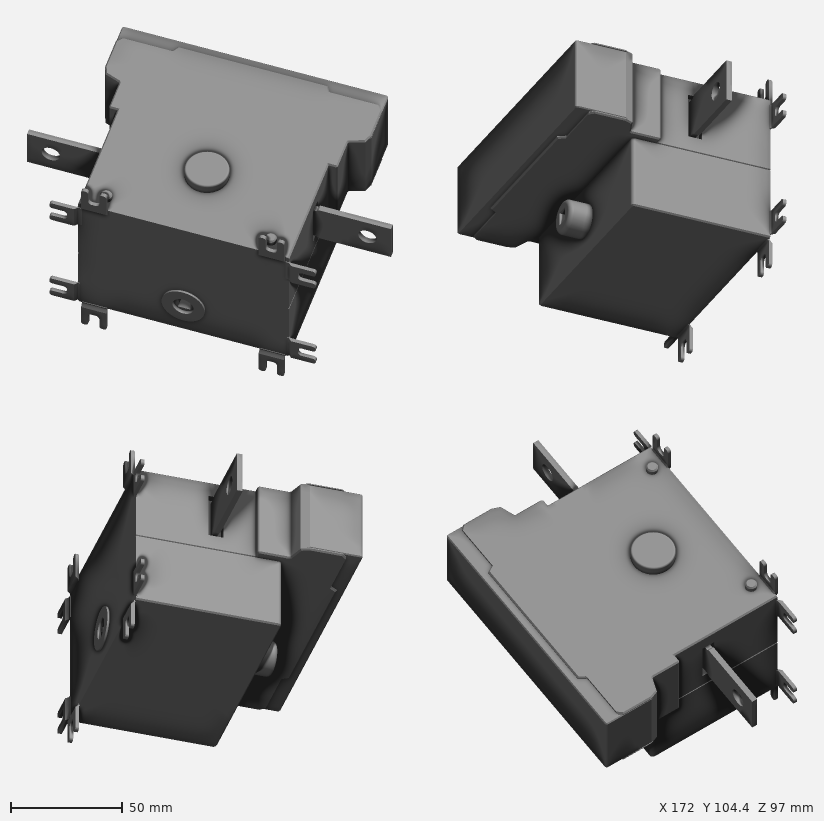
import cadquery as cq


upper_height = 36.8
cover_thickness = 1.0
cover_bevel = 0.7
edge_tolerance = 0.02
body_half_width = 49.9
shoulder_half_width = 54.0
flange_half_width = 63.0
body_depth = 102.7
shoulder_start = 56.0
flare_start = 71.2
flare_end = 73.8
flare_end_half_width = 61.4
flange_start = 77.7
shoulder_radius = 1.0
back_edge_bevel = 0.5
back_corner_radius = 1.2

cover_corner_start = 93.2
cover_corner_half_width = 61.0
cover_side_back = 95.3
cover_tongue_back = 98.9
tongue_root_half_width = 37.5
tongue_tip_half_width = 35.3

lower_height = 34.7
lower_depth = 68.6
lower_back_radius = 1.7
lower_bottom_bevel = 0.7
shaft_axis_z = -17.4
shaft_radius = 8.17
shaft_length = 11.4
shaft_end_radius = 2.0
disc_radius = 10.1
disc_thickness = 1.0
bore_radius = 5.0
bore_depth = 1.7
socket_width = 5.8
socket_height = 6.4

button_radius = 10.1
button_height = 4.6
button_edge_radius = 0.9
button_y = 33.2
screw_radius = 2.8
screw_height = 2.8
screw_chamfer = 0.7
screw_x = 38.9
screw_y = 6.7

bar_tip_x = 86.0
bar_thickness = 2.8
bar_height = 20.3
bar_y = 37.5
bar_z = 18.4
bar_shoulder_x = 51.8
bar_neck_inset = 1.0
bar_hole_x = 74.8
bar_hole_radius = 4.3
bar_window_depth = 7.0
bar_window_height = 21.5
bar_window_recess = 3.5

tab_width = 12.0
tab_thickness = 1.7
tab_tip_radius = 1.4
tab_slot_width = 5.3
tab_slot_length = 8.5
tab_slot_corner_radius = 1.9
bend_run = 1.4
root_proud = 0.3
bend_fill = 0.7
tab_x = 42.0
side_tab_tip = 63.0
side_tab_bend = 51.3
upper_tab_z = 27.7
lower_tab_z = -27.2
upper_side_root = 48.2
lower_side_root = 49.2
top_tab_tip = 48.7
top_tab_bend = 35.6
top_tab_root = 33.7
bottom_tab_tip = 48.3
bottom_tab_bend = 36.3
bottom_tab_root = 34.2


shoulder_zone = cq.selectors.BoxSelector(
    (-flange_half_width, shoulder_start - shoulder_radius, 0),
    (flange_half_width, flare_start + shoulder_radius, upper_height),
)
body_zone = cq.selectors.BoxSelector(
    (-body_half_width - shoulder_radius, 0, 0),
    (body_half_width + shoulder_radius, shoulder_start + shoulder_radius, upper_height),
)
shoulder_corners = shoulder_zone - body_zone


def mirrored_profile(half_outline, bottom_z, height):
    """Extrude a half outline, given for X > 0, with its mirror image and round the shoulders."""
    other_half = [(-x, y) for x, y in reversed(half_outline)]
    block = (
        cq.Workplane("XY", origin=(0, 0, bottom_z))
        .polyline(half_outline + other_half)
        .close()
        .extrude(height)
    )
    return block.edges("|Z").edges(shoulder_corners).fillet(shoulder_radius)


side_outline = [
    (body_half_width, 0),
    (body_half_width, shoulder_start),
    (shoulder_half_width, shoulder_start),
    (shoulder_half_width, flare_start),
    (flare_end_half_width, flare_end),
    (flange_half_width, flange_start),
]
core_outline = side_outline + [(flange_half_width, body_depth)]
cover_outline = side_outline + [
    (flange_half_width, cover_corner_start),
    (cover_corner_half_width, cover_side_back),
    (tongue_root_half_width, cover_side_back),
    (tongue_tip_half_width, cover_tongue_back),
]


def takes_bevel(edge):
    """False for the rear edges of a cover beside its tongue, which stay square."""
    box = edge.BoundingBox()
    return abs(box.ymin - cover_side_back) > edge_tolerance or box.ylen > edge_tolerance


def upper_housing():
    """Stepped box with a raised, bevelled cover on its top and bottom."""
    core = mirrored_profile(core_outline, cover_thickness, upper_height - 2 * cover_thickness)
    core = core.edges("|Z and >Y").fillet(back_corner_radius)
    core = core.faces(">Y").edges("|X").chamfer(back_edge_bevel)

    top_cover = mirrored_profile(cover_outline, upper_height - cover_thickness, cover_thickness)
    top_cover = top_cover.faces(">Z").edges("not <Y").filter(takes_bevel).chamfer(cover_bevel)
    bottom_cover = top_cover.mirror("XY", (0, 0, upper_height / 2))
    return core.union(top_cover).union(bottom_cover)


def lower_housing():
    """Plain box under the upper housing."""
    box = cq.Workplane("XY").box(
        2 * body_half_width, lower_depth, lower_height, centered=(True, False, False)
    )
    box = box.translate((0, 0, -lower_height))
    box = box.edges("|Z and >Y").fillet(lower_back_radius)
    return box.faces("<Z").edges("not <Y").chamfer(lower_bottom_bevel)


def cylinder_along_y(radius, start_y, length):
    """Cylinder on the drive shaft axis."""
    plane = cq.Plane(origin=(0, start_y, shaft_axis_z), xDir=(1, 0, 0), normal=(0, 1, 0))
    return cq.Workplane(plane).circle(radius).extrude(length)


def shaft_and_disc():
    """Shaft end behind the lower housing and thin disc on the mounting face."""
    shaft = cylinder_along_y(shaft_radius, lower_depth, shaft_length)
    shaft = shaft.faces(">Y").edges().fillet(shaft_end_radius)
    return shaft.union(cylinder_along_y(disc_radius, -disc_thickness, disc_thickness))


def shaft_socket():
    """Round bore at the front, continued by a rectangular hole through the shaft."""
    socket_length = disc_thickness + lower_depth + shaft_length
    socket = cq.Workplane("XY").box(
        socket_width, socket_length, socket_height, centered=(True, False, True)
    )
    socket = socket.translate((0, -disc_thickness, shaft_axis_z))
    return socket.union(cylinder_along_y(bore_radius, -disc_thickness, bore_depth))


def top_button():
    button = cq.Workplane("XY", origin=(0, button_y, upper_height)).circle(button_radius)
    return button.extrude(button_height).faces(">Z").edges().fillet(button_edge_radius)


def screw_heads():
    heads = cq.Workplane("XY", origin=(0, screw_y, upper_height))
    heads = heads.pushPoints([(-screw_x, 0), (screw_x, 0)]).circle(screw_radius)
    return heads.extrude(screw_height).faces(">Z").edges().chamfer(screw_chamfer)


wall_recess_x = body_half_width - bar_window_recess


def terminal_bar():
    """Right-hand terminal bar, narrowed where it enters the housing."""
    half_height = bar_height / 2
    neck_half_height = half_height - bar_neck_inset
    neck_x = bar_shoulder_x - bar_neck_inset
    lower_edge = [
        (wall_recess_x, -neck_half_height),
        (neck_x, -neck_half_height),
        (bar_shoulder_x, -half_height),
        (bar_tip_x, -half_height),
    ]
    upper_edge = [(x, -z) for x, z in reversed(lower_edge)]
    return (
        cq.Workplane("XZ", origin=(0, bar_y, bar_z))
        .polyline(lower_edge + upper_edge)
        .close()
        .moveTo(bar_hole_x, 0)
        .circle(bar_hole_radius)
        .extrude(bar_thickness / 2, both=True)
    )


def terminal_window():
    """Recess in the right-hand wall around the terminal bar."""
    window = cq.Workplane("XY").box(
        bar_window_recess, bar_window_depth, bar_window_height, centered=(False, True, True)
    )
    return window.translate((wall_recess_x, bar_y, bar_z))


def mounting_tab(tip, bend, root, wall):
    """Slotted tab pointing along +X and centred on Z = 0.

    tip, bend and root are distances from the part axis to the free end, to the start of
    the sloped bend and to the inner end; wall is the distance to the housing wall.
    """
    section = [
        (tip, -tab_thickness),
        (bend, -tab_thickness),
        (bend - bend_run, -root_proud),
        (root, -root_proud),
        (root, bend_fill),
        (wall, bend_fill),
        (wall + bend_fill, 0),
        (tip, 0),
    ]
    tab = cq.Workplane("XY").polyline(section).close().extrude(tab_width / 2, both=True)

    slot = cq.Workplane("XY").box(2 * tab_slot_length, 4 * tab_thickness, tab_slot_width)
    slot = slot.edges("|Y").fillet(tab_slot_corner_radius).translate((tip, 0, 0))
    tab = tab.cut(slot)
    return tab.faces(">X").edges("|Y").fillet(tab_tip_radius)


def mounting_tabs():
    """All tabs of the right-hand half: two sideways, one upward and one downward."""
    side_upper = mounting_tab(side_tab_tip, side_tab_bend, upper_side_root, body_half_width)
    side_lower = mounting_tab(side_tab_tip, side_tab_bend, lower_side_root, body_half_width)
    top = mounting_tab(top_tab_tip, top_tab_bend, top_tab_root, upper_height)
    bottom = mounting_tab(bottom_tab_tip, bottom_tab_bend, bottom_tab_root, lower_height)
    return [
        side_upper.translate((0, 0, upper_tab_z)),
        side_lower.translate((0, 0, lower_tab_z)),
        top.rotate((0, 0, 0), (0, 1, 0), -90).translate((tab_x, 0, 0)),
        bottom.rotate((0, 0, 0), (0, 1, 0), 90).translate((tab_x, 0, 0)),
    ]


result = upper_housing().union(lower_housing()).union(shaft_and_disc())
result = result.cut(shaft_socket())
result = result.union(top_button()).union(screw_heads())

window = terminal_window()
result = result.cut(window).cut(window.mirror("YZ"))

for half_feature in [terminal_bar()] + mounting_tabs():
    result = result.union(half_feature).union(half_feature.mirror("YZ"))